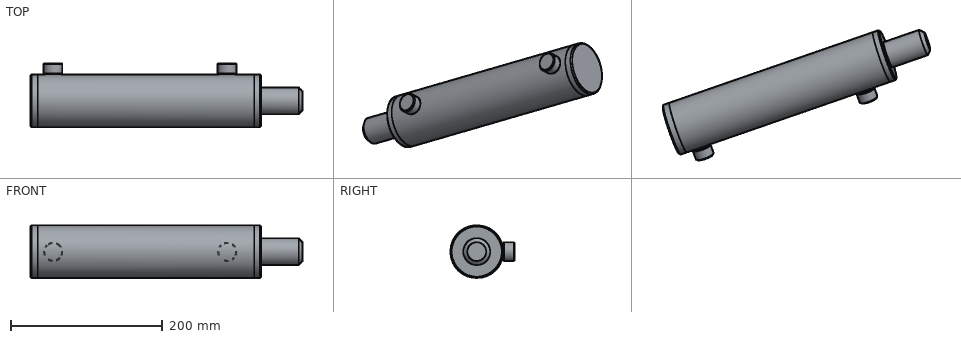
import cadquery as cq

overall_length = 360.0
barrel_diameter = 70.0
barrel_radius = barrel_diameter / 2

body_length = 305.0
cap_length = 10.0
gland_length = 9.0
end_chamfer = 1.8
barrel_length = body_length - cap_length - gland_length

rod_diameter = 35.5
rod_chamfer = 5.5
rod_length = overall_length - body_length

port_diameter = 25.2
port_chamfer = 1.5
port_height = 15.0
port_tip = barrel_radius + port_height
first_port_x = 30.0
port_spacing = 230.0
port_count = 2


def cylinder_along_x(start, length, diameter):
    """Solid cylinder on the main axis, running from start towards +X."""
    return cq.Workplane("YZ", origin=(start, 0, 0)).circle(diameter / 2).extrude(length)


def make_end_cap():
    return cylinder_along_x(0, cap_length, barrel_diameter).faces("<X").chamfer(end_chamfer)


def make_barrel():
    return cylinder_along_x(cap_length, barrel_length, barrel_diameter)


def make_gland():
    start = cap_length + barrel_length
    return cylinder_along_x(start, gland_length, barrel_diameter).faces(">X").chamfer(end_chamfer)


def make_rod():
    return cylinder_along_x(body_length, rod_length, rod_diameter).faces(">X").chamfer(rod_chamfer)


def make_port(x):
    """Port boss pointing to +Y, with both rims chamfered."""
    return (
        cq.Workplane("XZ", origin=(x, port_tip, 0))
        .circle(port_diameter / 2)
        .extrude(port_height)
        .faces("<Y or >Y")
        .chamfer(port_chamfer)
    )


end_cap = make_end_cap()
barrel = make_barrel()
gland = make_gland()
rod = make_rod()
ports = [make_port(first_port_x + i * port_spacing) for i in range(port_count)]

result = cq.Compound.makeCompound(
    [
        end_cap.val(),
        barrel.val(),
        gland.val(),
        rod.val(),
        *[port.val() for port in ports],
    ]
)